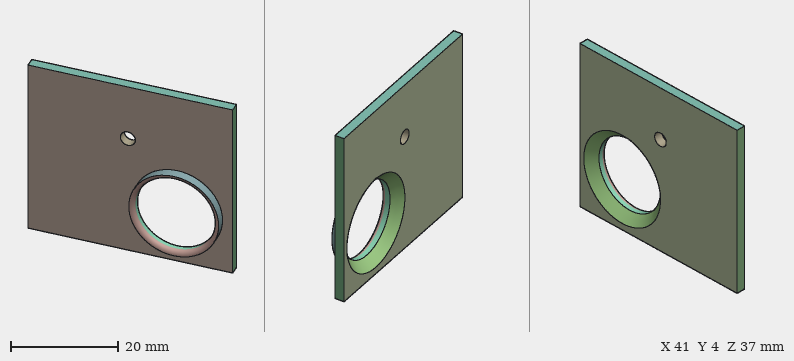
import cadquery as cq
import math

plate_width = 41
plate_height = 37.0
plate_thickness = 2.0

ring_x = 29.97
ring_z = 11.5
ring_height = 2.0
ring_radius = 18.0 / 2
opening_radius = 16.0 / 2
lip_radius = ring_radius - opening_radius
countersink_radius = opening_radius + plate_thickness

small_hole_x = 20.0
small_hole_z = 25.25
small_hole_radius = 3.0 / 2


def cylinder_along_y(x, z, radius, y_start, y_end):
    """Cylinder parallel to Y between two Y positions."""
    return (
        cq.Workplane("XZ", origin=(x, y_start, z))
        .circle(radius)
        .extrude(y_start - y_end)
    )


def make_opening():
    """Round void through ring and plate: rounded lip, straight throat, countersink."""
    lip_start = lip_radius - ring_height
    arc_offset = lip_radius * math.sqrt(0.5)
    arc_middle_radius = ring_radius - arc_offset
    return (
        cq.Workplane("XY", origin=(ring_x, 0, ring_z))
        .moveTo(0, -ring_height)
        .lineTo(ring_radius, -ring_height)
        .threePointArc((arc_middle_radius, lip_start - arc_offset), (opening_radius, lip_start))
        .lineTo(opening_radius, 0)
        .lineTo(countersink_radius, plate_thickness)
        .lineTo(0, plate_thickness)
        .close()
        .revolve(360, (0, 0), (0, 1))
    )


plate = cq.Workplane("XY").box(plate_width, plate_thickness, plate_height, centered=False)
ring = cylinder_along_y(ring_x, ring_z, ring_radius, plate_thickness, -ring_height)
small_hole = cylinder_along_y(small_hole_x, small_hole_z, small_hole_radius, plate_thickness, 0)

result = plate.union(ring).cut(make_opening()).cut(small_hole)